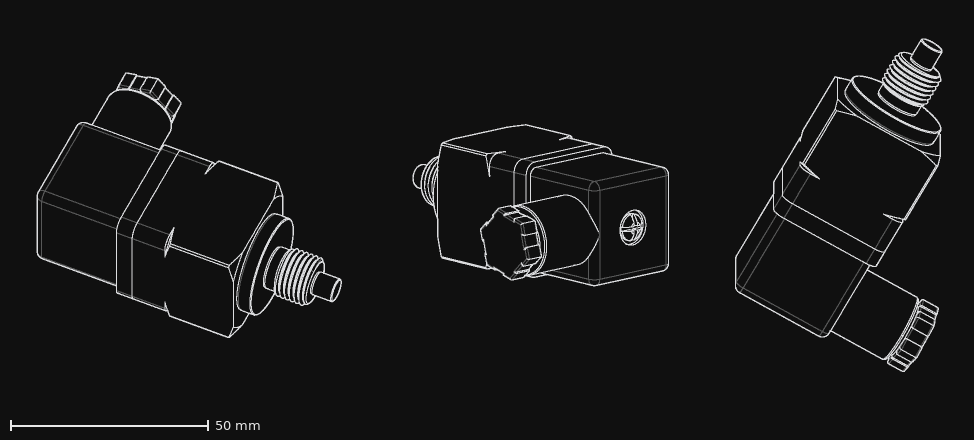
import cadquery as cq
import math


cap_width = 27.1
cap_fillet = 2.0
cap_end = 23.5
flange_end = 27.9
block_width = 30.0
block_corner_radius = 3.0

gland_radius = 9.0
gland_end = 30.6
gland_chamfer = 0.5
gland_chamfer_depth = 0.2
collar_radius = 7.0
nut_start = 31.5
nut_end = 36.5
nut_across_flats = 16.0
nut_turn = 15.0
nut_side_count = 6
nut_recess_depth = 0.4
nut_edge_fillet = 0.5

screw_recess_radius = 4.5
screw_recess_depth = 1.0
screw_top_height = 1.0
screw_top_radius = 1.6
screw_radius = 3.5
screw_rim_depth = 0.3
screw_dome_mid_radius = 2.8
screw_dome_mid_height = 0.3
slot_width = 1.1
slot_floor_depth = 0.7

base_end = 37.0
wrench_end = 56.1
wrench_edge_chamfer = 0.5
wrench_cone_radius = 17.7
wrench_cone_slope = 2.4

disc_radius = 13.0
disc_end = 60.05
disc_end_chamfer = 0.2
disc_foot_depth = 0.1
neck_radius = 5.6
thread_start = 63.05
thread_end = 72.05
pin_radius = 3.1
pin_end = 78.0
pin_end_chamfer = 0.2
relief_length = 0.5
relief_depth = 0.15

thread_radius = 6.55
thread_helix_start = 61.5
thread_helix_length = 12.0
thread_turns = 9
ridge_root_overlap = 0.15
ridge_root_radius = neck_radius - ridge_root_overlap
ridge_root_half_width = 0.66
envelope_clearance = 0.1
envelope_radius = thread_radius + envelope_clearance
envelope_turn = 100.0


def rounded_block(x_start, x_end):
    """Square block along X with rounded long edges."""
    block = cq.Workplane("YZ", origin=(x_start, 0, 0)).rect(block_width, block_width)
    return block.extrude(x_end - x_start).edges("|X").fillet(block_corner_radius)


def revolved_about_x(profile):
    """Solid of revolution about X from a closed profile drawn in (X, radius)."""
    return profile.close().revolve(360, (0, 0, 0), (1, 0, 0))


def make_cap():
    cap = cq.Workplane("YZ").rect(cap_width, cap_width).extrude(cap_end)
    return cap.edges("|X or <X").fillet(cap_fillet)


def make_gland():
    """Gland barrel and collar, starting inside the cap where its edge fillet begins."""
    start = cap_width / 2 - cap_fillet
    return (
        cq.Workplane("XY")
        .moveTo(0, start)
        .lineTo(gland_radius, start)
        .lineTo(gland_radius, gland_end - gland_chamfer)
        .lineTo(gland_radius - gland_chamfer_depth, gland_end)
        .lineTo(collar_radius, gland_end)
        .lineTo(collar_radius, nut_start)
        .lineTo(0, nut_start)
        .close()
        .revolve(360, (0, 0, 0), (0, 1, 0))
        .translate((gland_radius, 0, 0))
    )


def make_nut():
    """Hexagonal gland nut with the middle third of each side set back."""
    half_flats = nut_across_flats / 2
    side = nut_across_flats / math.sqrt(3)
    length = nut_end - nut_start
    nut = cq.Workplane("XY").polygon(nut_side_count, 2 * side).extrude(length)
    recess = cq.Workplane("XY").box(2 * nut_recess_depth, side / 3, length, centered=(True, True, False))
    for index in range(nut_side_count):
        angle = (index + 0.5) * 360 / nut_side_count
        nut = nut.cut(recess.translate((half_flats, 0, 0)).rotate((0, 0, 0), (0, 0, 1), angle))
    nut = nut.faces("<Z or >Z").fillet(nut_edge_fillet)
    nut = nut.rotate((0, 0, 0), (0, 0, 1), -nut_turn)
    nut = nut.rotate((0, 0, 0), (1, 0, 0), -90)
    return nut.translate((gland_radius, nut_start, 0))


def make_screw_head():
    """Domed head with a flat top and a cross slot, standing on the recess floor."""
    dome = revolved_about_x(
        cq.Workplane("XY")
        .moveTo(screw_recess_depth, 0)
        .lineTo(-screw_top_height, 0)
        .lineTo(-screw_top_height, screw_top_radius)
        .threePointArc((-screw_dome_mid_height, screw_dome_mid_radius), (screw_rim_depth, screw_radius))
        .lineTo(screw_recess_depth, screw_radius)
    )
    slot_plane = cq.Workplane("YZ", origin=(slot_floor_depth, 0, 0))
    slot_depth = slot_floor_depth + screw_top_height
    for width, height in ((2 * screw_radius, slot_width), (slot_width, 2 * screw_radius)):
        dome = dome.cut(slot_plane.rect(width, height).extrude(-slot_depth))
    return dome


def make_connector():
    screw_recess = cq.Workplane("YZ").circle(screw_recess_radius).extrude(screw_recess_depth)
    return (
        make_cap()
        .union(rounded_block(cap_end, flange_end))
        .union(make_gland())
        .union(make_nut())
        .cut(screw_recess)
        .union(make_screw_head())
    )


def make_wrench_block():
    """Square block whose corners are cut back by a cone at each end."""
    length = wrench_end - base_end
    block = (
        cq.Workplane("YZ", origin=(base_end, 0, 0))
        .rect(block_width, block_width)
        .extrude(length)
        .edges("|X")
        .chamfer(wrench_edge_chamfer)
    )
    middle = base_end + length / 2
    middle_radius = wrench_cone_radius + wrench_cone_slope * length / 2
    double_cone = revolved_about_x(
        cq.Workplane("XY")
        .moveTo(base_end, 0)
        .lineTo(base_end, wrench_cone_radius)
        .lineTo(middle, middle_radius)
        .lineTo(wrench_end, wrench_cone_radius)
        .lineTo(wrench_end, 0)
    )
    return block.intersect(double_cone)


def make_turned_end():
    """Disc, neck, thread core and pin."""
    return revolved_about_x(
        cq.Workplane("XY")
        .moveTo(wrench_end, 0)
        .lineTo(wrench_end, disc_radius - disc_foot_depth)
        .lineTo(wrench_end + relief_length, disc_radius)
        .lineTo(disc_end - disc_end_chamfer, disc_radius)
        .lineTo(disc_end, disc_radius - disc_end_chamfer)
        .lineTo(disc_end, neck_radius - relief_depth)
        .lineTo(disc_end + relief_length, neck_radius)
        .lineTo(thread_end, neck_radius)
        .lineTo(thread_end, pin_radius - relief_depth)
        .lineTo(thread_end + relief_length, pin_radius)
        .lineTo(pin_end - pin_end_chamfer, pin_radius)
        .lineTo(pin_end, pin_radius - pin_end_chamfer)
        .lineTo(pin_end, 0)
    )


def make_thread_ridge():
    """Helical ridge of triangular section, tapered off at both ends of the thread."""
    pitch = thread_helix_length / thread_turns
    helix = cq.Wire.makeHelix(pitch, thread_helix_length, ridge_root_radius)
    ridge = (
        cq.Workplane("XZ")
        .moveTo(ridge_root_radius, -ridge_root_half_width)
        .lineTo(thread_radius, 0)
        .lineTo(ridge_root_radius, ridge_root_half_width)
        .close()
        .sweep(cq.Workplane(helix), isFrenet=True)
        .rotate((0, 0, 0), (0, 1, 0), 90)
        .translate((thread_helix_start, 0, 0))
    )
    taper = envelope_radius - neck_radius
    envelope = revolved_about_x(
        cq.Workplane("XY")
        .moveTo(thread_start, 0)
        .lineTo(thread_start, neck_radius)
        .lineTo(thread_start + taper, envelope_radius)
        .lineTo(thread_end - taper, envelope_radius)
        .lineTo(thread_end, neck_radius)
        .lineTo(thread_end, 0)
    )
    return ridge.intersect(envelope.rotate((0, 0, 0), (1, 0, 0), envelope_turn))


def make_sensor():
    return (
        rounded_block(flange_end, base_end)
        .union(make_wrench_block())
        .union(make_turned_end().union(make_thread_ridge()))
    )


connector = make_connector().solids()
sensor = make_sensor().solids()

result = cq.Compound.makeCompound([connector.val(), sensor.val()])